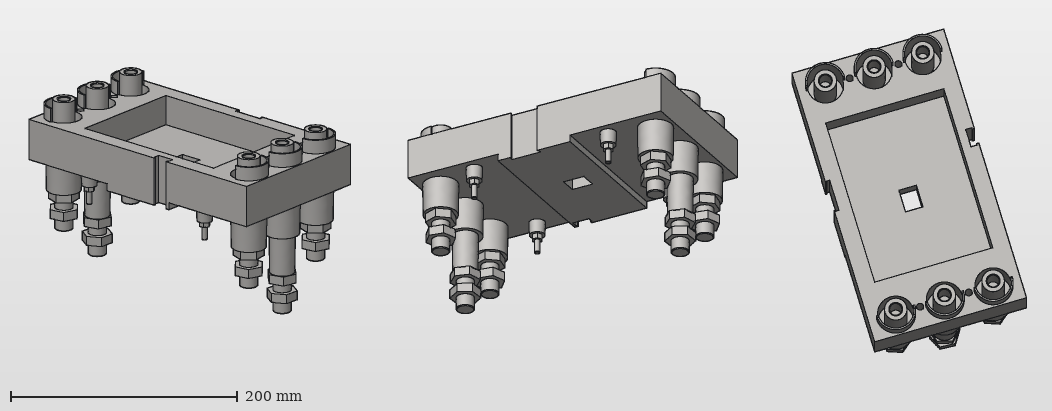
import cadquery as cq

BLOCK_LENGTH = 255.0
BLOCK_WIDTH = 140.0
BLOCK_HEIGHT = 38.0
OVERLAP = 1.3

PAD_LEFT = -36.0
PAD_RIGHT = 36.7
PAD_HEIGHT = 6.6

POCKET_LENGTH = 151.0
POCKET_WIDTH = 109.0
POCKET_DEPTH = 27.5
WINDOW_CENTER_X = -5.4
WINDOW_LENGTH = 20.5
WINDOW_WIDTH = 16.0

FRONT_SLOT = {"center": 26.3, "width": 16.3, "mouth": 13.5, "depth": 7.6, "lip": 2.0}
BACK_SLOT = {"center": 10.5, "width": 28.5, "mouth": 26.5, "depth": 4.0, "lip": 1.3}

COLUMN_INSET = 19.0
COLUMN_PITCH = 45.0
COLUMN_X = BLOCK_LENGTH / 2 - COLUMN_INSET

VENT_DIAMETER = 6.0

POST_RADIUS = 10.0
POST_HEIGHT = 17.0
BORE_RADIUS = 5.4
BORE_CHAMFER = 0.8
BORE_DEPTH = 25.5
RECESS_RADIUS = 16.0
RECESS_DEPTH = 30.5
GUARD_RADIUS = 17.5
GUARD_HEIGHT = 12.8

INSULATOR_TOP_RADIUS = 16.0
INSULATOR_BOTTOM_RADIUS = 15.5
INSULATOR_LENGTH = 30.3
EXTENSION_TOP_RADIUS = 11.7
EXTENSION_BOTTOM_RADIUS = 11.2
EXTENSION_LENGTH = 36.7
NUT_RADIUS = 13.8
NUT_HEIGHT = 8.5
NUT_GAP = 8.5
STUD_RADIUS = 8.2
STUD_TAIL = 11.7
STUD_CHAMFER = 0.8
CORNER_NUT_ANGLES = (40, 10)
MIDDLE_NUT_ANGLES = (15, 27)

PIN_X = 67.5
PIN_Y = 57.5
PIN_BASE_TOP_RADIUS = 7.5
PIN_BASE_BOTTOM_RADIUS = 7.0
PIN_BASE_LENGTH = 12.5
PIN_NUT_RADIUS = 4.8
PIN_NUT_HEIGHT = 5.0
PIN_RADIUS = 2.5
PIN_LENGTH = 12.8
PIN_CHAMFER = 0.5


def upright_box(x_min, x_max, y_min, y_max, z_min, z_max):
    size = (x_max - x_min, y_max - y_min, z_max - z_min)
    return cq.Workplane("XY").box(*size, centered=False).translate((x_min, y_min, z_min))


def cylinder(radius, z_bottom, z_top):
    return cq.Workplane("XY").workplane(offset=z_bottom).circle(radius).extrude(z_top - z_bottom)


def cone(top_radius, bottom_radius, z_top, length):
    """Tapered plug hanging from z_top, with a straight root joined to what is above."""
    profile = [
        (0, z_top + OVERLAP),
        (top_radius, z_top + OVERLAP),
        (top_radius, z_top),
        (bottom_radius, z_top - length),
        (0, z_top - length),
    ]
    return cq.Workplane("XZ").polyline(profile).close().revolve(360, (0, 0), (0, 1))


def hexagon(corner_radius, z_top, height, angle):
    """Hexagonal nut with a corner at the given angle from +X."""
    nut = cq.Workplane("XY").workplane(offset=z_top - height).polygon(6, 2 * corner_radius)
    return nut.extrude(height).rotate((0, 0, 0), (0, 0, 1), angle)


def t_slot(center, width, mouth, depth, lip, side):
    """Cutter for a T-slot in the side face at side = -1 (-Y) or +1 (+Y)."""
    face = BLOCK_WIDTH / 2
    height = BLOCK_HEIGHT + PAD_HEIGHT
    cavity = cq.Workplane("XY").box(width, depth - lip, height)
    cavity = cavity.translate((center, side * (face - (depth + lip) / 2), -height / 2))
    opening = cq.Workplane("XY").box(mouth, depth, height)
    opening = opening.translate((center, side * (face - depth / 2), -height / 2))
    return cavity.union(opening)


def make_block():
    half_width = BLOCK_WIDTH / 2
    half_length = BLOCK_LENGTH / 2
    pad_bottom = -BLOCK_HEIGHT - PAD_HEIGHT
    block = upright_box(-half_length, half_length, -half_width, half_width, -BLOCK_HEIGHT, 0)
    block = block.union(upright_box(PAD_LEFT, PAD_RIGHT, -half_width, half_width, pad_bottom, -OVERLAP))
    pocket = upright_box(
        -POCKET_LENGTH / 2, POCKET_LENGTH / 2, -POCKET_WIDTH / 2, POCKET_WIDTH / 2, -POCKET_DEPTH, 0
    )
    window = upright_box(
        WINDOW_CENTER_X - WINDOW_LENGTH / 2, WINDOW_CENTER_X + WINDOW_LENGTH / 2,
        -WINDOW_WIDTH / 2, WINDOW_WIDTH / 2, pad_bottom, 0,
    )
    block = block.cut(pocket).cut(window)
    block = block.cut(t_slot(side=-1, **FRONT_SLOT)).cut(t_slot(side=1, **BACK_SLOT))
    for x in (-COLUMN_X, COLUMN_X):
        for y in (-COLUMN_PITCH / 2, COLUMN_PITCH / 2):
            block = block.cut(cylinder(VENT_DIAMETER / 2, -BLOCK_HEIGHT, 0).translate((x, y, 0)))
    return block


def make_post():
    post = cylinder(POST_RADIUS, -RECESS_DEPTH - OVERLAP, POST_HEIGHT)
    post = post.cut(cylinder(BORE_RADIUS, POST_HEIGHT - BORE_DEPTH, POST_HEIGHT))
    return post.faces(">Z").edges(cq.selectors.RadiusNthSelector(0)).chamfer(BORE_CHAMFER)


def make_guard(side):
    """Half ring standing on the block, on the -X (side = -1) or +X (side = +1) half."""
    ring = cylinder(GUARD_RADIUS, -OVERLAP, GUARD_HEIGHT).cut(cylinder(RECESS_RADIUS, -OVERLAP, GUARD_HEIGHT))
    x_min, x_max = sorted((0, side * GUARD_RADIUS))
    return ring.intersect(upright_box(x_min, x_max, -GUARD_RADIUS, GUARD_RADIUS, -OVERLAP, GUARD_HEIGHT))


def make_lower_terminal(is_middle):
    """Insulator, two nuts and a stud; the middle one hangs lower on an extension."""
    nut_top = -BLOCK_HEIGHT - INSULATOR_LENGTH
    nut_angles = CORNER_NUT_ANGLES
    body = cone(INSULATOR_TOP_RADIUS, INSULATOR_BOTTOM_RADIUS, -BLOCK_HEIGHT, INSULATOR_LENGTH)
    if is_middle:
        body = body.union(cone(EXTENSION_TOP_RADIUS, EXTENSION_BOTTOM_RADIUS, nut_top, EXTENSION_LENGTH))
        nut_top -= EXTENSION_LENGTH
        nut_angles = MIDDLE_NUT_ANGLES
    lower_nut_top = nut_top - NUT_HEIGHT - NUT_GAP
    stud_bottom = lower_nut_top - NUT_HEIGHT - STUD_TAIL
    stud = cylinder(STUD_RADIUS, stud_bottom, nut_top + OVERLAP).faces("<Z").chamfer(STUD_CHAMFER)
    body = body.union(stud)
    for z_top, angle in zip((nut_top, lower_nut_top), nut_angles):
        body = body.union(hexagon(NUT_RADIUS, z_top, NUT_HEIGHT, angle))
    return body


def make_pin():
    nut_top = -BLOCK_HEIGHT - PIN_BASE_LENGTH
    pin_bottom = nut_top - PIN_NUT_HEIGHT - PIN_LENGTH
    pin = cone(PIN_BASE_TOP_RADIUS, PIN_BASE_BOTTOM_RADIUS, -BLOCK_HEIGHT, PIN_BASE_LENGTH)
    pin = pin.union(cylinder(PIN_RADIUS, pin_bottom, nut_top + OVERLAP).faces("<Z").chamfer(PIN_CHAMFER))
    return pin.union(hexagon(PIN_NUT_RADIUS, nut_top, PIN_NUT_HEIGHT, 0))


result = make_block()

for side in (-1, 1):
    for row in (-1, 0, 1):
        place = (side * COLUMN_X, row * COLUMN_PITCH, 0)
        result = result.union(make_lower_terminal(is_middle=row == 0).translate(place))
        result = result.union(make_guard(side).translate(place))
        result = result.cut(cylinder(RECESS_RADIUS, -RECESS_DEPTH, 0).translate(place))
        result = result.union(make_post().translate(place))

for x in (-PIN_X, PIN_X):
    for y in (-PIN_Y, PIN_Y):
        result = result.union(make_pin().translate((x, y, 0)))